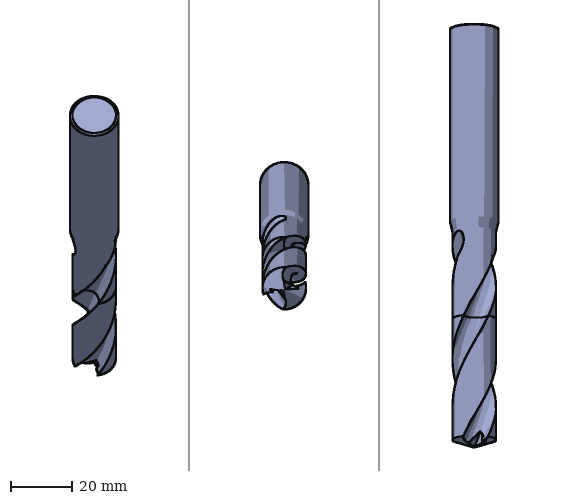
import cadquery as cq
import math

length = 140.0
shank_radius = 8.0
drill_radius = 7.1
point_angle = 140.0

joint_height = 43.0
runout_start = 63.3
runout_end = 71.4
taper_bottom = 72.1
taper_top = 75.5

chamfer_width = 0.8
chamfer_height = 0.4

flute_count = 2
flute_pitch = 80.1
flute_radius = 4.0
flute_offset = 6.2
flute_tip_angle = 94.0

gash_root = cq.Vector(0.1, -0.3, 0)
gash_peak = cq.Vector(2.4, -1.5, 5.3)
gash_heel = cq.Vector(-4.2, -5.9, 1.0)
gash_lip = cq.Vector(6.2, -2.2, -1.8)

point_height = drill_radius / math.tan(math.radians(point_angle / 2))


def polar(radius, angle, height):
    turn = math.radians(angle)
    return cq.Vector(radius * math.cos(turn), radius * math.sin(turn), height)


def flute_turn(height):
    """Angle in degrees that a flute turns between the tip and a height."""
    return 360.0 * height / flute_pitch


def helical_flute(start_angle):
    """Helical groove from the tip up to the start of the runout."""
    center = polar(flute_offset, start_angle, 0)
    profile = cq.Wire.makeCircle(flute_radius, center, cq.Vector(0, 0, 1))
    axis_start = cq.Vector(0, 0, 0)
    axis_rise = cq.Vector(0, 0, runout_start)
    return cq.Solid.extrudeLinearWithRotation(profile, [], axis_start, axis_rise, flute_turn(runout_start))


def flute_runout(start_angle):
    """Straight continuation of a flute that leaves the drill surface at the runout end."""
    start = polar(flute_offset, start_angle + flute_turn(runout_start), runout_start)
    exit_angle = start_angle + flute_turn(runout_end)
    end = polar(drill_radius + flute_radius, exit_angle, runout_end)
    profile = cq.Wire.makeCircle(flute_radius, start, cq.Vector(0, 0, 1))
    return cq.Solid.extrudeLinear(profile, [], end - start)


def point_gash(turn):
    """Notch that thins the web at the point, turned about the drill axis."""
    corners = [gash_root, gash_peak, gash_heel, gash_lip]
    faces = []
    for left_out in corners:
        triangle = [corner for corner in corners if corner is not left_out]
        faces.append(cq.Face.makeFromWires(cq.Wire.makePolygon(triangle, close=True)))
    notch = cq.Solid.makeSolid(cq.Shell.makeShell(faces))
    return notch.fix().rotate(cq.Vector(0, 0, 0), cq.Vector(0, 0, 1), turn)


def make_cutting_head(cutters):
    blank = (
        cq.Workplane("XZ")
        .moveTo(0, 0)
        .lineTo(drill_radius, point_height)
        .lineTo(drill_radius, joint_height)
        .lineTo(0, joint_height)
        .close()
        .revolve(360, (0, 0, 0), (0, 1, 0))
    )
    for cutter in cutters:
        blank = blank.cut(cutter)
    return blank


def make_shank(cutters):
    blank = (
        cq.Workplane("XZ")
        .moveTo(0, joint_height)
        .lineTo(drill_radius, joint_height)
        .lineTo(drill_radius, taper_bottom)
        .lineTo(shank_radius, taper_top)
        .lineTo(shank_radius, length - chamfer_height)
        .lineTo(shank_radius - chamfer_width, length)
        .lineTo(0, length)
        .close()
        .revolve(360, (0, 0, 0), (0, 1, 0))
    )
    for cutter in cutters:
        blank = blank.cut(cutter)
    return blank


flute_spacings = [i * 360.0 / flute_count for i in range(flute_count)]
flutes = [helical_flute(flute_tip_angle + spacing) for spacing in flute_spacings]
runouts = [flute_runout(flute_tip_angle + spacing) for spacing in flute_spacings]
gashes = [point_gash(spacing) for spacing in flute_spacings]

cutting_head = make_cutting_head(flutes + gashes)
shank = make_shank(flutes + runouts)

result = cq.Compound.makeCompound([cutting_head.solids().val(), shank.solids().val()])